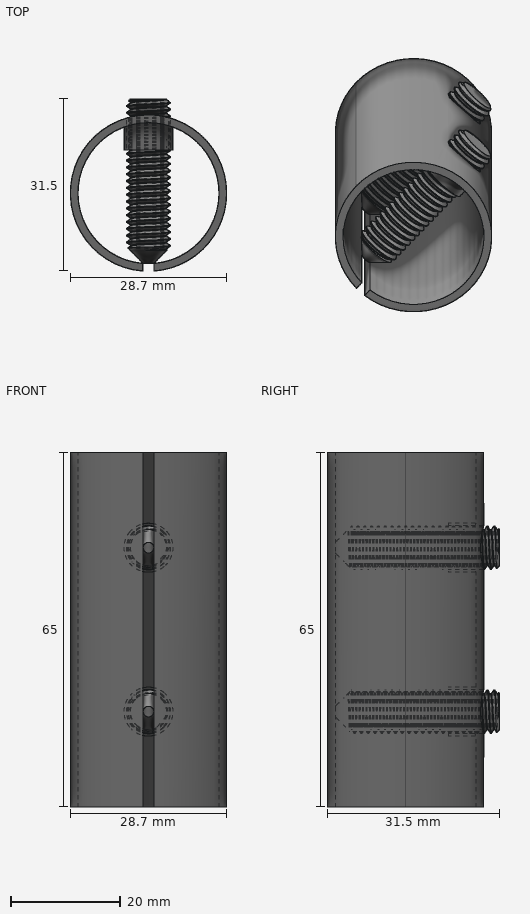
import cadquery as cq
import math

TUBE_LENGTH = 65.0
TUBE_DIAMETER = 28.65
TUBE_OUTER_RADIUS = TUBE_DIAMETER / 2
WALL = 1.4
TUBE_INNER_RADIUS = TUBE_OUTER_RADIUS - WALL
SLOT_WIDTH = 2.0

BOSS_DIAMETER = 9.0
BOSS_END_Y = 7.85
BOSS_ROOT_Y = TUBE_INNER_RADIUS + WALL / 4
BOSS_HOLE_DIAMETER = 8.05
SCREW_SPACING = 30.0

SCREW_TAIL_Y = 17.2
SCREW_TIP_Y = -12.9
TIP_RADIUS = 1.0
CREST_DIAMETER = 8.0
CREST_RADIUS = CREST_DIAMETER / 2
ROOT_RADIUS = 3.3
TAIL_CHAMFER = 0.65
THREAD_PITCH = CREST_DIAMETER * 1.25 / 8
CREST_WIDTH = THREAD_PITCH / 8
ROOT_WIDTH = THREAD_PITCH * 7 / 8
ROOT_EMBED = 0.03
THREAD_START_ANGLE = 105.0

SCREW_LENGTH = SCREW_TAIL_Y - SCREW_TIP_Y
ENVELOPE_CLEARANCE = 0.5
ENVELOPE_RADIUS = CREST_RADIUS + ENVELOPE_CLEARANCE
SCREW_HEIGHTS = (-SCREW_SPACING / 2, SCREW_SPACING / 2)


def cylinder_along_y(radius, start_y, end_y, height):
    """Cylinder parallel to Y, at X = 0 and Z = height."""
    base = cq.Workplane("XZ", origin=(0, start_y, height))
    return base.circle(radius).extrude(start_y - end_y)


def make_tube():
    """Split tube with both internal bosses and their screw holes."""
    base = cq.Workplane("XY", origin=(0, 0, -TUBE_LENGTH / 2))
    outer = base.circle(TUBE_OUTER_RADIUS).extrude(TUBE_LENGTH)
    bore = base.circle(TUBE_INNER_RADIUS).extrude(TUBE_LENGTH)
    slot = cq.Workplane("XY").box(
        SLOT_WIDTH, TUBE_OUTER_RADIUS, TUBE_LENGTH, centered=(True, False, True)
    )
    tube = outer.cut(bore).cut(slot.translate((0, -TUBE_OUTER_RADIUS, 0)))
    for height in SCREW_HEIGHTS:
        boss = cylinder_along_y(BOSS_DIAMETER / 2, BOSS_END_Y, BOSS_ROOT_Y, height)
        tube = tube.union(boss)
    for height in SCREW_HEIGHTS:
        hole = cylinder_along_y(BOSS_HOLE_DIAMETER / 2, BOSS_END_Y, TUBE_OUTER_RADIUS, height)
        tube = tube.cut(hole)
    return tube


def revolve_outline(outline):
    """Body of revolution about Z from (radius, height) points."""
    return cq.Workplane("XZ").polyline(outline).close().revolve(360, (0, 0, 0), (0, 1, 0))


def make_core():
    """Screw core along +Z from the tip: a 45 degree point and a plain cylinder."""
    return revolve_outline([
        (0, 0),
        (TIP_RADIUS, 0),
        (ROOT_RADIUS, ROOT_RADIUS - TIP_RADIUS),
        (ROOT_RADIUS, SCREW_LENGTH),
        (0, SCREW_LENGTH),
    ])


def make_end_envelope():
    """Trimming body clear of the crests, coned to the point and to the tail chamfer."""
    tail_radius = CREST_RADIUS - TAIL_CHAMFER
    return revolve_outline([
        (0, 0),
        (TIP_RADIUS, 0),
        (ENVELOPE_RADIUS, ENVELOPE_RADIUS - TIP_RADIUS),
        (ENVELOPE_RADIUS, SCREW_LENGTH - (ENVELOPE_RADIUS - tail_radius)),
        (tail_radius, SCREW_LENGTH),
        (0, SCREW_LENGTH),
    ])


def make_thread_ridge():
    """Helical ridge along +Z that runs past both ends of the threaded length."""
    base_radius = ROOT_RADIUS - ROOT_EMBED
    flank_slope = (ROOT_WIDTH - CREST_WIDTH) / 2 / (CREST_RADIUS - ROOT_RADIUS)
    base_half_width = ROOT_WIDTH / 2 + ROOT_EMBED * flank_slope
    start = ROOT_RADIUS - TIP_RADIUS - THREAD_PITCH
    turns = math.ceil((SCREW_LENGTH - start) / THREAD_PITCH) + 1
    helix = cq.Workplane(cq.Wire.makeHelix(THREAD_PITCH, turns * THREAD_PITCH, base_radius))
    profile = cq.Workplane("XZ").polyline([
        (base_radius, -base_half_width),
        (CREST_RADIUS, -CREST_WIDTH / 2),
        (CREST_RADIUS, CREST_WIDTH / 2),
        (base_radius, base_half_width),
    ]).close()
    ridge = profile.sweep(helix, isFrenet=True)
    return ridge.rotate((0, 0, 0), (0, 0, 1), THREAD_START_ANGLE).translate((0, 0, start))


def make_screw():
    """Threaded set screw along Y, at Z = 0."""
    ridge = make_thread_ridge().intersect(make_end_envelope(), clean=False)
    screw = make_core().union(ridge, clean=False)
    return screw.rotate((0, 0, 0), (1, 0, 0), -90).translate((0, SCREW_TIP_Y, 0))


tube = make_tube()
screw = make_screw()
screws = [screw.translate((0, 0, height)) for height in SCREW_HEIGHTS]

bodies = [tube, *screws]
result = cq.Compound.makeCompound([body.solids().val() for body in bodies])